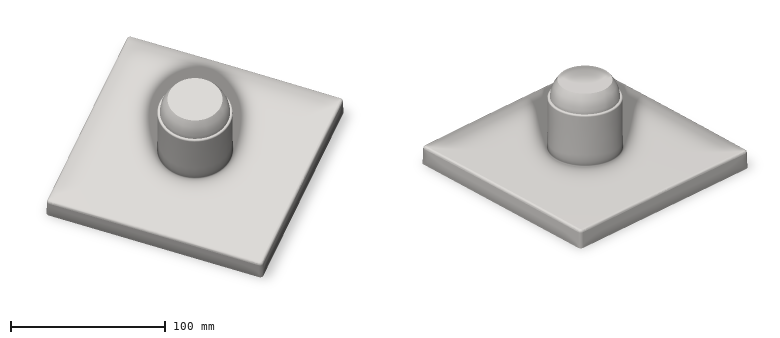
import cadquery as cq
import math

plate_size = 150.0
crown_top = 13.95
crown_drop = 0.4
side_draft = 1.5
corner_radius = 2.2
plate_edge_radius = 1.7

post_base_radius = 24.55
post_top_radius = 24.45
post_top = 52.0
post_root_radius = 0.7
post_rim_radius = 1.0

cap_base_radius = 22.8
cap_top_radius = 17.8
cap_side_radius = 19.5
part_height = 64.6

crown_radius = ((plate_size / 2) ** 2 + crown_drop**2) / (2 * crown_drop)


def crown_height(radius):
    """Height of the plate's crowned top at a distance from the Z axis."""
    return crown_top - crown_radius + math.sqrt(crown_radius**2 - radius**2)


def make_turned_body():
    """Cap, post and crowned disc revolved as one profile; the disc reaches past the plate's corners."""
    disc_radius = plate_size
    root_outer_radius = post_base_radius + post_root_radius
    root_bottom = crown_height(root_outer_radius)
    rim_inner_radius = post_top_radius - post_rim_radius
    return (
        cq.Workplane("XZ")
        .lineTo(disc_radius, 0)
        .lineTo(disc_radius, crown_height(disc_radius))
        .radiusArc((root_outer_radius, root_bottom), -crown_radius)
        .radiusArc((post_base_radius, root_bottom + post_root_radius), post_root_radius)
        .lineTo(post_top_radius, post_top - post_rim_radius)
        .radiusArc((rim_inner_radius, post_top), -post_rim_radius)
        .lineTo(cap_base_radius, post_top)
        .radiusArc((cap_top_radius, part_height), -cap_side_radius)
        .lineTo(0, part_height)
        .close()
        .revolve(360, (0, 0), (0, 1))
    )


def make_square_envelope():
    """Drafted square block with rounded corners, taller than the part, that trims the disc to the plate."""
    return (
        cq.Workplane("XY")
        .rect(plate_size, plate_size)
        .extrude(part_height + crown_top, taper=side_draft)
        .edges("not(|X or |Y)")
        .fillet(corner_radius)
    )


def round_plate_edge(body):
    """Round the plate's top border, skipping the crown edges that lie nearer the axis."""
    inner_half = plate_size / 2 - 2 * plate_edge_radius
    inner_edges = cq.selectors.BoxSelector(
        (-inner_half, -inner_half, 0),
        (inner_half, inner_half, part_height),
    )
    return body.faces("%SPHERE").edges(-inner_edges).fillet(plate_edge_radius)


plain_body = make_turned_body().intersect(make_square_envelope())
result = round_plate_edge(plain_body).solids()